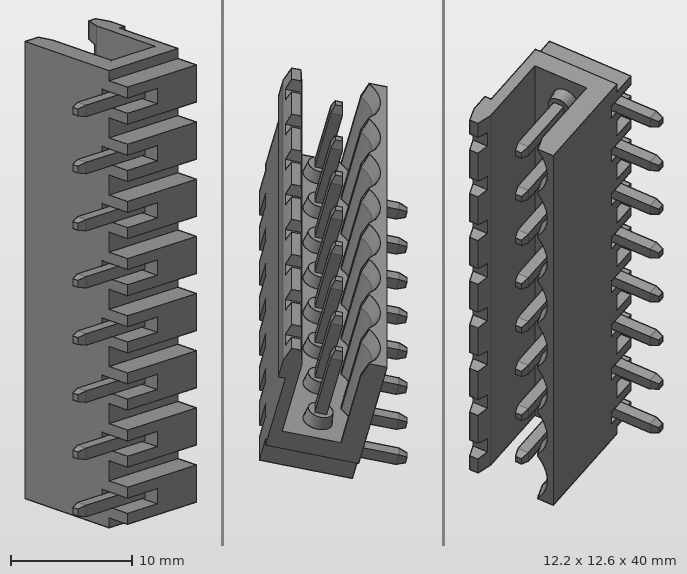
import cadquery as cq

POLE_COUNT = 8
PITCH = 5.0
LENGTH = POLE_COUNT * PITCH
POLE_HEIGHTS = [(i + 0.5) * PITCH for i in range(POLE_COUNT)]

BODY_DEPTH = 10.0
TOTAL_DEPTH = 12.2
BODY_HEIGHT = 7.9
CAVITY_DEPTH = 8.3
CAVITY_TOP = 6.9
MOUTH_TAPER_LENGTH = 1.35

LATCH_LENGTH = 3.05
LATCH_TOP = 8.5
LATCH_OUTER_TAPER = 0.4
LATCH_INNER_TAPER = 0.4
NOTCH_DEPTH = 1.0
NOTCH_MOUTH_WIDTH = 1.82
NOTCH_FLOOR_WIDTH = 1.5

RIDGE_HEIGHT = 1.9
SCALLOP_SAG = 0.95
SCALLOP_WIDTH = 4.5
SCALLOP_RADIUS = ((SCALLOP_WIDTH / 2) ** 2 + SCALLOP_SAG**2) / (2 * SCALLOP_SAG)
SCALLOP_CENTRE = RIDGE_HEIGHT - SCALLOP_SAG + SCALLOP_RADIUS
LOWER_FLARE = 0.37

PIN_SIZE = 1.0
PIN_TIP_SIZE = 0.6
PIN_TIP_LENGTH = 0.75
CONTACT_START = 0.85
CONTACT_Y = 3.9
SOLDER_X = 10.25
SOLDER_LENGTH = 4.1

RIB_WIDTH = 3.25
SLOT_START = 9.15
SLOT_WIDTH = 1.33
SLOT_DEPTH = CONTACT_Y - PIN_SIZE / 2

COLLAR_LENGTH = 1.1
COLLAR_BASE_DIAMETER = 2.48
COLLAR_TIP_DIAMETER = 2.1


def box(x_range, y_range, z_range):
    """Axis-aligned box from (low, high) pairs."""
    lows, highs = zip(x_range, y_range, z_range)
    size = [high - low for low, high in zip(lows, highs)]
    return cq.Workplane("XY").box(*size, centered=False).translate(lows)


def centred(middle, width):
    """(low, high) pair of the given width around a middle value."""
    return (middle - width / 2, middle + width / 2)


def make_shell():
    """C-shaped housing section with the latch rim, extruded along Z."""
    outline = [
        (0, 0),
        (BODY_DEPTH, 0),
        (BODY_DEPTH, BODY_HEIGHT),
        (LATCH_LENGTH, BODY_HEIGHT),
        (LATCH_LENGTH, LATCH_TOP),
        (MOUTH_TAPER_LENGTH, LATCH_TOP),
        (0, LATCH_TOP - LATCH_OUTER_TAPER),
        (0, CAVITY_TOP + LATCH_INNER_TAPER),
        (MOUTH_TAPER_LENGTH, CAVITY_TOP),
        (CAVITY_DEPTH, CAVITY_TOP),
        (CAVITY_DEPTH, RIDGE_HEIGHT),
        (MOUTH_TAPER_LENGTH, RIDGE_HEIGHT),
        (0, RIDGE_HEIGHT - LOWER_FLARE),
    ]
    return cq.Workplane("XY").polyline(outline).close().extrude(LENGTH)


def make_scallop(height):
    """Cylinder with a conical mouth, limited to one pitch and to the space under the upper wall."""
    flared_radius = SCALLOP_RADIUS + LOWER_FLARE
    profile = [
        (0, 0),
        (0, flared_radius),
        (MOUTH_TAPER_LENGTH, SCALLOP_RADIUS),
        (CAVITY_DEPTH, SCALLOP_RADIUS),
        (CAVITY_DEPTH, 0),
    ]
    turned = cq.Workplane("XY").polyline(profile).close().revolve(360, (0, 0, 0), (1, 0, 0))
    limits = box((0, CAVITY_DEPTH), (0, SCALLOP_CENTRE), centred(height, PITCH))
    return turned.translate((0, SCALLOP_CENTRE, height)).intersect(limits)


def make_rib(height):
    return box((BODY_DEPTH, TOTAL_DEPTH), (0, BODY_HEIGHT), centred(height, RIB_WIDTH))


def make_slot(height):
    """Slot open to the board side, ending where the contact prong begins."""
    return box((SLOT_START, TOTAL_DEPTH), (0, SLOT_DEPTH), centred(height, SLOT_WIDTH))


def make_notch(height):
    """Gap in the latch rim whose end walls converge toward its floor."""
    outline = [
        (0, height - NOTCH_MOUTH_WIDTH / 2),
        (NOTCH_DEPTH, height - NOTCH_FLOOR_WIDTH / 2),
        (NOTCH_DEPTH, height + NOTCH_FLOOR_WIDTH / 2),
        (0, height + NOTCH_MOUTH_WIDTH / 2),
    ]
    base = cq.Workplane("XZ", origin=(0, LATCH_TOP, 0))
    return base.polyline(outline).close().extrude(LATCH_TOP - CAVITY_TOP)


def make_prong(root, direction, length):
    """Square bar from root along direction, ending in a tapered tip."""
    straight = length - PIN_TIP_LENGTH
    plane = cq.Plane(origin=root, xDir=(0, 0, 1), normal=direction)
    bar = cq.Workplane(plane).rect(PIN_SIZE, PIN_SIZE).extrude(straight)
    tip = (
        cq.Workplane(plane)
        .workplane(offset=straight)
        .rect(PIN_SIZE, PIN_SIZE)
        .workplane(offset=PIN_TIP_LENGTH)
        .rect(PIN_TIP_SIZE, PIN_TIP_SIZE)
        .loft()
    )
    return bar.union(tip)


def make_pin(height):
    """Right-angle pin: contact prong toward the mouth, solder prong below the board side."""
    corner_x = SOLDER_X + PIN_SIZE / 2
    corner_y = CONTACT_Y + PIN_SIZE / 2
    contact = make_prong((corner_x, CONTACT_Y, height), (-1, 0, 0), corner_x - CONTACT_START)
    solder = make_prong((SOLDER_X, corner_y, height), (0, -1, 0), corner_y + SOLDER_LENGTH)
    return contact.union(solder)


def make_collar(height):
    return (
        cq.Workplane("YZ", origin=(CAVITY_DEPTH, CONTACT_Y, height))
        .circle(COLLAR_BASE_DIAMETER / 2)
        .workplane(offset=-COLLAR_LENGTH)
        .circle(COLLAR_TIP_DIAMETER / 2)
        .loft()
    )


result = make_shell()
for pole_height in POLE_HEIGHTS:
    result = result.cut(make_scallop(pole_height))
    result = result.cut(make_notch(pole_height))
    result = result.union(make_rib(pole_height))
    result = result.cut(make_slot(pole_height))
    result = result.union(make_collar(pole_height))
    result = result.union(make_pin(pole_height))